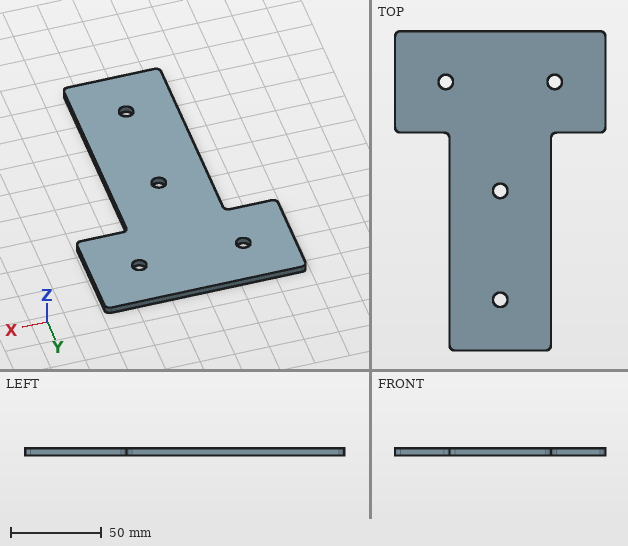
import cadquery as cq

total_length = 176.0
thickness = 4.0
arm_width = 56.0
corner_radius = 3.0

hole_spacing = 60.0
hole_diameter = 8.0

crossbar_length = hole_spacing + arm_width
top_edge = total_length / 2
crossbar_center_y = top_edge - arm_width / 2

crossbar = cq.Workplane("XY").center(0, crossbar_center_y).rect(crossbar_length, arm_width).extrude(thickness)
stem = cq.Workplane("XY").rect(arm_width, total_length).extrude(thickness)

plate = crossbar.union(stem).clean().edges("|Z").fillet(corner_radius)

hole_centers = [
    (-hole_spacing / 2, crossbar_center_y),
    (hole_spacing / 2, crossbar_center_y),
    (0, crossbar_center_y - hole_spacing),
    (0, crossbar_center_y - 2 * hole_spacing),
]
result = plate.faces(">Z").workplane(origin=(0, 0, thickness)).pushPoints(hole_centers).hole(hole_diameter)